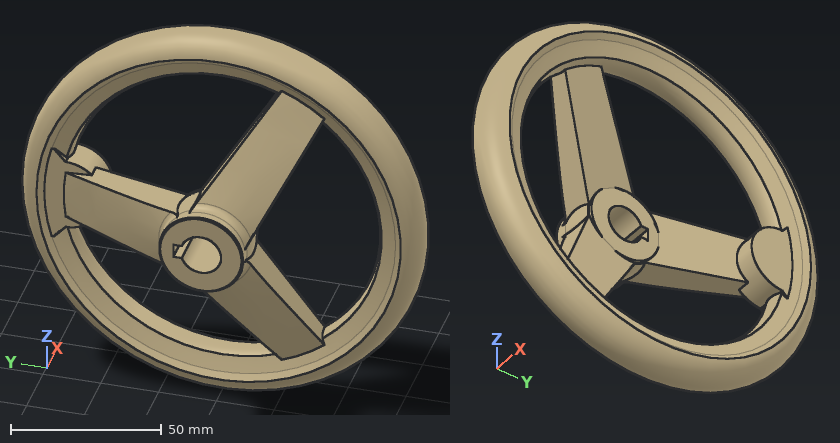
import cadquery as cq
import math

OUTER_RADIUS = 70.0
RIM_DIAMETER = 123.0
RIM_RADIUS = RIM_DIAMETER / 2
GRIP_RADIUS = OUTER_RADIUS - RIM_RADIUS
OVERALL_WIDTH = 38.5
RIM_X = OVERALL_WIDTH - GRIP_RADIUS
GRIP_INNER_RADIUS = 63.0
CORE_HALF_WIDTH = 6.7
CORE_INNER_RADIUS = 53.9
CORE_SHOULDER_RADIUS = 60.7
CORE_CROWN_RADIUS = 55.3
CORE_CROWN_HALF_WIDTH = 4.5
CORE_FLANK_MID_RADIUS = 57.5
CORE_FLANK_MID_HALF_WIDTH = 5.3
CORE_FRONT_X = RIM_X - CORE_HALF_WIDTH

HUB_DIAMETER = 29.0
HUB_RADIUS = HUB_DIAMETER / 2
HUB_LENGTH = 19.2
HUB_CHAMFER = 0.4
BARREL_START_X = 5.2
BARREL_END_X = 17.6
BARREL_RADIUS = 15.4
REAR_COLLAR_RADIUS = 14.1
BORE_RADIUS = 7.0
KEY_WIDTH = 4.8
KEY_REACH = 9.5

SPOKE_COUNT = 3
SPOKE_ROOT_RADIUS = 7.7
SPOKE_ROOT_HALF_WIDTH = 11.2
SPOKE_TIP_RADIUS = 54.0
SPOKE_TIP_HALF_WIDTH = 8.7
SPOKE_END_RADIUS = 58.8
SPOKE_FRONT_SLOPE = 0.45
SPOKE_BACK_SLOPE = 0.3
SPOKE_BACK_ROOT_X = 17.4

FILLET_START_X = 3.5

BOSS_CENTER_Y = 53.3
BOSS_RADIUS = 12.9
BOSS_DEPTH = 12.0
BOSS_FLARE_Y = 57.4
BOSS_FLARE_HALF_WIDTH = 17.4


def revolve_about_x(profile):
    """Turn a profile drawn as (X, radius) about the wheel axis."""
    return profile.revolve(360, (0, 0, 0), (1, 0, 0))


def make_rim():
    edge_rise = GRIP_INNER_RADIUS - RIM_RADIUS
    edge_half_width = math.sqrt(GRIP_RADIUS**2 - edge_rise**2)
    grip = revolve_about_x(
        cq.Workplane("XY")
        .moveTo(RIM_X - edge_half_width, GRIP_INNER_RADIUS)
        .threePointArc((RIM_X, OUTER_RADIUS), (RIM_X + edge_half_width, GRIP_INNER_RADIUS))
        .close()
    )
    core = revolve_about_x(
        cq.Workplane("XY")
        .moveTo(RIM_X - edge_half_width, GRIP_INNER_RADIUS)
        .lineTo(RIM_X - CORE_HALF_WIDTH, CORE_SHOULDER_RADIUS)
        .threePointArc(
            (RIM_X - CORE_FLANK_MID_HALF_WIDTH, CORE_FLANK_MID_RADIUS),
            (RIM_X - CORE_CROWN_HALF_WIDTH, CORE_CROWN_RADIUS),
        )
        .threePointArc(
            (RIM_X, CORE_INNER_RADIUS), (RIM_X + CORE_CROWN_HALF_WIDTH, CORE_CROWN_RADIUS)
        )
        .threePointArc(
            (RIM_X + CORE_FLANK_MID_HALF_WIDTH, CORE_FLANK_MID_RADIUS),
            (RIM_X + CORE_HALF_WIDTH, CORE_SHOULDER_RADIUS),
        )
        .lineTo(RIM_X + edge_half_width, GRIP_INNER_RADIUS)
        .close()
    )
    return grip.union(core)


def make_hub():
    return revolve_about_x(
        cq.Workplane("XY")
        .lineTo(0, HUB_RADIUS - HUB_CHAMFER)
        .lineTo(HUB_CHAMFER, HUB_RADIUS)
        .lineTo(BARREL_START_X, HUB_RADIUS)
        .threePointArc(
            ((BARREL_START_X + BARREL_END_X) / 2, BARREL_RADIUS), (BARREL_END_X, HUB_RADIUS)
        )
        .lineTo(BARREL_END_X, REAR_COLLAR_RADIUS)
        .lineTo(HUB_LENGTH, REAR_COLLAR_RADIUS)
        .lineTo(HUB_LENGTH, 0)
        .close()
    )


def spoke_front_x(radius):
    """The conical front face of the spokes meets the front of the core at the spoke tip."""
    return CORE_FRONT_X - SPOKE_FRONT_SLOPE * (SPOKE_TIP_RADIUS - radius)


def spoke_back_x(radius):
    return SPOKE_BACK_ROOT_X + SPOKE_BACK_SLOPE * (radius - SPOKE_ROOT_RADIUS)


def spoke_half_width(radius):
    taper = (SPOKE_ROOT_HALF_WIDTH - SPOKE_TIP_HALF_WIDTH) / (SPOKE_TIP_RADIUS - SPOKE_ROOT_RADIUS)
    return SPOKE_ROOT_HALF_WIDTH - taper * (radius - SPOKE_ROOT_RADIUS)


def make_spoke_front_body():
    """Solid behind the cone of the spoke fronts, with the fillet around the hub."""
    cone_angle = math.atan(1 / SPOKE_FRONT_SLOPE)
    fillet_rise = spoke_front_x(HUB_RADIUS) - FILLET_START_X
    fillet_radius = fillet_rise / (math.hypot(1, SPOKE_FRONT_SLOPE) - SPOKE_FRONT_SLOPE)

    def fillet_point(angle):
        return (
            FILLET_START_X + fillet_radius * math.sin(angle),
            HUB_RADIUS + fillet_radius * (1 - math.cos(angle)),
        )

    return revolve_about_x(
        cq.Workplane("XY")
        .moveTo(FILLET_START_X, 0)
        .lineTo(FILLET_START_X, HUB_RADIUS)
        .threePointArc(fillet_point(cone_angle / 2), fillet_point(cone_angle))
        .lineTo(spoke_front_x(SPOKE_END_RADIUS), SPOKE_END_RADIUS)
        .lineTo(OVERALL_WIDTH, SPOKE_END_RADIUS)
        .lineTo(OVERALL_WIDTH, 0)
        .close()
    )


def make_spoke():
    """One spoke along +Y: conical in front, flat behind, tapered in width."""
    root, end = SPOKE_ROOT_RADIUS, SPOKE_END_RADIUS
    root_half, end_half = spoke_half_width(root), spoke_half_width(end)
    outline = (
        cq.Workplane("YZ")
        .polyline([(root, -root_half), (end, -end_half), (end, end_half), (root, root_half)])
        .close()
        .extrude(OVERALL_WIDTH)
    )
    side_profile = (
        cq.Workplane("XY")
        .polyline(
            [
                (0, root),
                (0, end),
                (spoke_back_x(end), end),
                (spoke_back_x(root), root),
            ]
        )
        .close()
        .extrude(SPOKE_ROOT_HALF_WIDTH, both=True)
    )
    return make_spoke_front_body().intersect(side_profile).intersect(outline)


def make_handle_boss():
    """Round lobe whose sides flare out into the rim core."""
    plane = cq.Workplane("YZ", origin=(CORE_FRONT_X, 0, 0))
    lobe = plane.center(BOSS_CENTER_Y, 0).circle(BOSS_RADIUS).extrude(BOSS_DEPTH)
    flare = (
        plane.polyline(
            [
                (BOSS_CENTER_Y, -BOSS_RADIUS),
                (BOSS_FLARE_Y, -BOSS_FLARE_HALF_WIDTH),
                (RIM_RADIUS, -BOSS_FLARE_HALF_WIDTH),
                (RIM_RADIUS, BOSS_FLARE_HALF_WIDTH),
                (BOSS_FLARE_Y, BOSS_FLARE_HALF_WIDTH),
                (BOSS_CENTER_Y, BOSS_RADIUS),
            ]
        )
        .close()
        .extrude(BOSS_DEPTH)
    )
    inside_rim = cq.Workplane("YZ").circle(RIM_RADIUS).extrude(OVERALL_WIDTH)
    return lobe.union(flare).intersect(inside_rim)


def make_keyed_bore():
    bore = cq.Workplane("YZ").circle(BORE_RADIUS).extrude(HUB_LENGTH)
    keyway = cq.Workplane("XY").box(
        HUB_LENGTH, KEY_REACH, KEY_WIDTH, centered=(False, False, True)
    )
    return bore.union(keyway)


wheel = make_rim().union(make_hub()).union(make_handle_boss())
spoke = make_spoke()
for index in range(SPOKE_COUNT):
    wheel = wheel.union(spoke.rotate((0, 0, 0), (1, 0, 0), index * 360 / SPOKE_COUNT))
result = wheel.cut(make_keyed_bore())